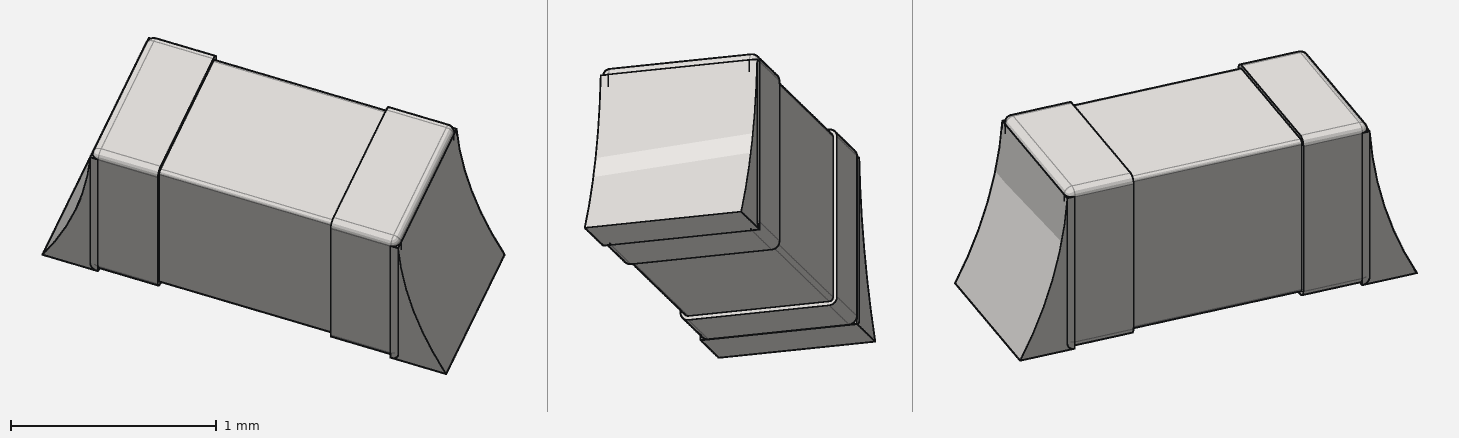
import cadquery as cq

total_length = 2.1
chip_length = 1.6
width = 0.8
height = 0.9
cap_length = 0.35
cap_wall = 0.02
cap_radius = 0.04
body_radius = cap_radius - cap_wall

solder_mid_x = 0.885
solder_mid_z = 0.4

toe_x = total_length / 2
chip_end_x = chip_length / 2
corner_x = chip_end_x - cap_radius
corner_y = width / 2 - cap_radius
solder_top_z = height - cap_radius


def make_body():
    """Rounded bar that reaches the floors of both cap recesses."""
    return (
        cq.Workplane("XY")
        .box(chip_length - 2 * cap_wall, width - 2 * cap_wall, height - 2 * cap_wall)
        .translate((0, 0, height / 2))
        .edges("|X")
        .fillet(body_radius)
    )


def make_cap_block():
    """Solid cap at the -X end, sharp only around its inner rim."""
    return (
        cq.Workplane("XY")
        .box(cap_length, width, height)
        .translate((cap_length / 2 - chip_end_x, 0, height / 2))
        .edges("|X or <X")
        .fillet(cap_radius)
    )


def make_solder():
    """Concave solder wedge at -X that also fills the gap under the cap's lower edge."""
    return (
        cq.Workplane("XZ", origin=(0, width / 2, 0))
        .moveTo(-toe_x, 0)
        .threePointArc((-solder_mid_x, solder_mid_z), (-chip_end_x, solder_top_z))
        .lineTo(-chip_end_x, cap_radius)
        .radiusArc((-corner_x, 0), -cap_radius)
        .close()
        .extrude(width)
    )


def make_corner_strip(cap_block):
    """Solder strip that squares off the rounded upright edge at -X, -Y, above the wedge."""
    strip_profile = (
        cq.Workplane("XZ", origin=(0, -corner_y, 0))
        .moveTo(-chip_end_x, solder_top_z)
        .lineTo(-chip_end_x, cap_radius)
        .radiusArc((-corner_x, 0), -cap_radius)
        .lineTo(-corner_x, solder_top_z)
        .close()
    )
    return strip_profile.extrude(cap_radius).cut(cap_block)


body = make_body()
cap_block = make_cap_block()
cap = cap_block.cut(body)
solder = make_solder()
corner_strip = make_corner_strip(cap_block)
end_parts = [cap, solder, corner_strip, corner_strip.mirror("XZ")]

solids = [body.val()]
for part in end_parts:
    solids.extend(part.vals()[0].Solids())
    solids.extend(part.mirror("YZ").vals()[0].Solids())

result = cq.Compound.makeCompound(solids)